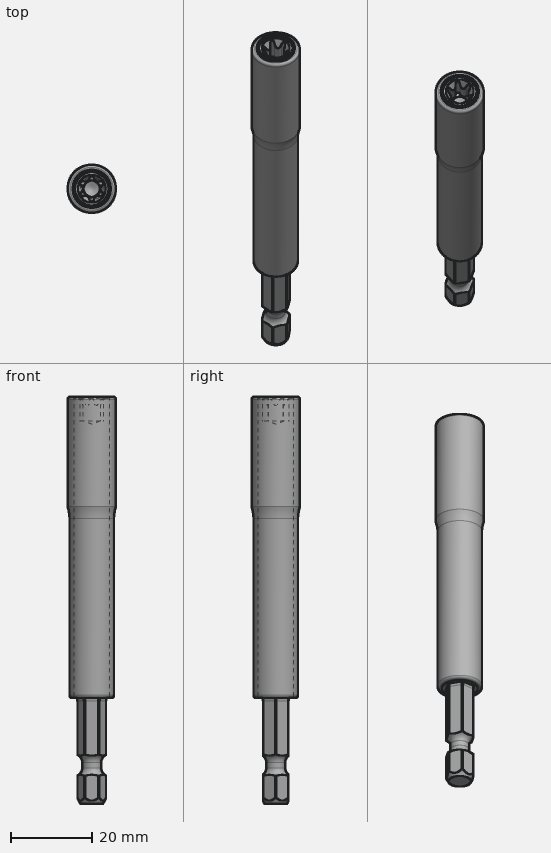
import cadquery as cq
import math


total_length = 100.0
sleeve_bottom = 26.0

head_radius = 5.95
barrel_radius = 5.5
head_bottom = 73.0
neck_arc_radius = 10.0
sleeve_edge_fillet = 0.7
bore_radius = 4.4
joint_chamfer_width = 0.3
joint_chamfer_depth = 0.5

hex_across_flats = 6.35
flat_pair_count = 3
hex_corner_radius = 3.55
flare_bottom = 25.2
flare_arc_radius = 3.0
tip_radius = 2.75
tip_chamfer_angle = 29.0

groove_center = 9.5
groove_neck_radius = 2.35
groove_neck_length = 1.3
groove_arc_radius = 2.15

lobe_count = 6
socket_outer_radius = 3.2
socket_inner_radius = 2.15
lobe_radius = 0.55
socket_depth = 6.0
socket_mouth_radius = 3.4
socket_mouth_angle = 30.0
drill_radius = 2.0
drill_point_angle = 140.0


def arc_offset(arc_radius, height):
    """Outward growth, at the given height, of a concave arc that leaves a vertical line."""
    return arc_radius - math.sqrt(arc_radius**2 - height**2)


def arc_rise(arc_radius, growth):
    """Height at which a concave arc that leaves a vertical line has grown outwards by `growth`."""
    return math.sqrt(arc_radius**2 - (arc_radius - growth) ** 2)


flare_rise = sleeve_bottom - flare_bottom
flare_middle = flare_bottom + flare_rise / 2
flare_mid_offset = arc_offset(flare_arc_radius, flare_rise / 2)
flare_top_offset = arc_offset(flare_arc_radius, flare_rise)


def make_joint_cylinder(top_radius):
    """Cylinder of the bore's radius along the sleeve, bevelled at the top to `top_radius`."""
    return (
        cq.Workplane("XZ")
        .moveTo(0, sleeve_bottom)
        .lineTo(bore_radius, sleeve_bottom)
        .lineTo(bore_radius, total_length - joint_chamfer_depth)
        .lineTo(top_radius, total_length)
        .lineTo(0, total_length)
        .close()
        .revolve(360, (0, 0, 0), (0, 1, 0))
    )


def make_sleeve():
    rise = arc_rise(neck_arc_radius, head_radius - barrel_radius)
    neck_bottom = head_bottom - rise
    neck_mid_radius = barrel_radius + arc_offset(neck_arc_radius, rise / 2)
    sleeve = (
        cq.Workplane("XZ")
        .moveTo(0, sleeve_bottom)
        .lineTo(barrel_radius, sleeve_bottom)
        .lineTo(barrel_radius, neck_bottom)
        .threePointArc((neck_mid_radius, neck_bottom + rise / 2), (head_radius, head_bottom))
        .lineTo(head_radius, total_length)
        .lineTo(0, total_length)
        .close()
        .revolve(360, (0, 0, 0), (0, 1, 0))
        .faces("<Z or >Z")
        .edges()
        .fillet(sleeve_edge_fillet)
    )
    bore = make_joint_cylinder(bore_radius + joint_chamfer_width)
    return sleeve.cut(bore)


def make_turned_shank():
    """Round shank with the tip chamfer, the ball groove and the flare at the top."""
    tip_chamfer_height = (hex_corner_radius - tip_radius) / math.tan(math.radians(tip_chamfer_angle))
    groove_rise = arc_rise(groove_arc_radius, hex_corner_radius - groove_neck_radius)
    groove_mid_radius = groove_neck_radius + arc_offset(groove_arc_radius, groove_rise / 2)
    neck_low = groove_center - groove_neck_length / 2
    neck_high = groove_center + groove_neck_length / 2
    flare_mid_radius = hex_corner_radius + flare_mid_offset
    flare_top_radius = hex_corner_radius + flare_top_offset
    return (
        cq.Workplane("XZ")
        .lineTo(tip_radius, 0)
        .lineTo(hex_corner_radius, tip_chamfer_height)
        .lineTo(hex_corner_radius, neck_low - groove_rise)
        .threePointArc((groove_mid_radius, neck_low - groove_rise / 2), (groove_neck_radius, neck_low))
        .lineTo(groove_neck_radius, neck_high)
        .threePointArc((groove_mid_radius, neck_high + groove_rise / 2),
                       (hex_corner_radius, neck_high + groove_rise))
        .lineTo(hex_corner_radius, flare_bottom)
        .threePointArc((flare_mid_radius, flare_middle), (flare_top_radius, sleeve_bottom))
        .lineTo(0, sleeve_bottom)
        .close()
        .revolve(360, (0, 0, 0), (0, 1, 0))
    )


def make_flat_pair():
    """Slab between the two hex flats that face +Y and -Y, flaring outwards at its top."""
    half_width = hex_across_flats / 2
    mid_half_width = half_width + flare_mid_offset
    top_half_width = half_width + flare_top_offset
    return (
        cq.Workplane("YZ")
        .moveTo(-half_width, 0)
        .lineTo(half_width, 0)
        .lineTo(half_width, flare_bottom)
        .threePointArc((mid_half_width, flare_middle), (top_half_width, sleeve_bottom))
        .lineTo(-top_half_width, sleeve_bottom)
        .threePointArc((-mid_half_width, flare_middle), (-half_width, flare_bottom))
        .close()
        .extrude(2 * hex_corner_radius, both=True)
    )


def make_hex_shank():
    shank = make_turned_shank()
    for pair in range(flat_pair_count):
        turn = 180 / flat_pair_count * pair
        shank = shank.intersect(make_flat_pair().rotate((0, 0, 0), (0, 0, 1), turn))
    return shank


def make_socket():
    """Cutter for the socket: lobed hole, conical mouth and drill point below the floor."""
    lobe_center = socket_outer_radius - lobe_radius
    half_pitch = math.pi / lobe_count
    spread = 2 * lobe_center * math.cos(half_pitch)
    tooth_radius = (
        (lobe_radius**2 - socket_inner_radius**2 - lobe_center**2 + spread * socket_inner_radius)
        / (2 * socket_inner_radius - spread - 2 * lobe_radius)
    )
    tooth_center = socket_inner_radius + tooth_radius

    def polar(radius, angle):
        return radius * math.cos(angle), radius * math.sin(angle)

    share = lobe_radius / (lobe_radius + tooth_radius)
    tooth_x, tooth_y = polar(tooth_center, half_pitch)
    touch_x = lobe_center + share * (tooth_x - lobe_center)
    touch_y = share * tooth_y
    touch_radius = math.hypot(touch_x, touch_y)
    touch_angle = math.atan2(touch_y, touch_x)

    floor = total_length - socket_depth
    outline = cq.Workplane("XY").workplane(offset=floor)
    first_lobe_angle = math.pi / 2
    outline = outline.moveTo(*polar(touch_radius, first_lobe_angle - touch_angle))
    for lobe in range(lobe_count):
        angle = first_lobe_angle + 2 * half_pitch * lobe
        next_angle = angle + 2 * half_pitch
        outline = outline.threePointArc(
            polar(socket_outer_radius, angle), polar(touch_radius, angle + touch_angle)
        )
        outline = outline.threePointArc(
            polar(socket_inner_radius, angle + half_pitch), polar(touch_radius, next_angle - touch_angle)
        )
    lobed_hole = outline.close().extrude(socket_depth)

    mouth_depth = socket_mouth_radius / math.tan(math.radians(socket_mouth_angle))
    mouth = cq.Workplane(cq.Solid.makeCone(
        0, socket_mouth_radius, mouth_depth, cq.Vector(0, 0, total_length - mouth_depth)
    ))
    point_depth = drill_radius / math.tan(math.radians(drill_point_angle / 2))
    drill_point = cq.Workplane(cq.Solid.makeCone(
        0, drill_radius, point_depth, cq.Vector(0, 0, floor - point_depth)
    ))
    return lobed_hole.union(mouth).union(drill_point)


def make_shaft():
    core = make_joint_cylinder(bore_radius - joint_chamfer_width)
    return core.union(make_hex_shank()).cut(make_socket())


sleeve = make_sleeve()
shaft = make_shaft()
result = cq.Compound.makeCompound([sleeve.val(), shaft.val()])